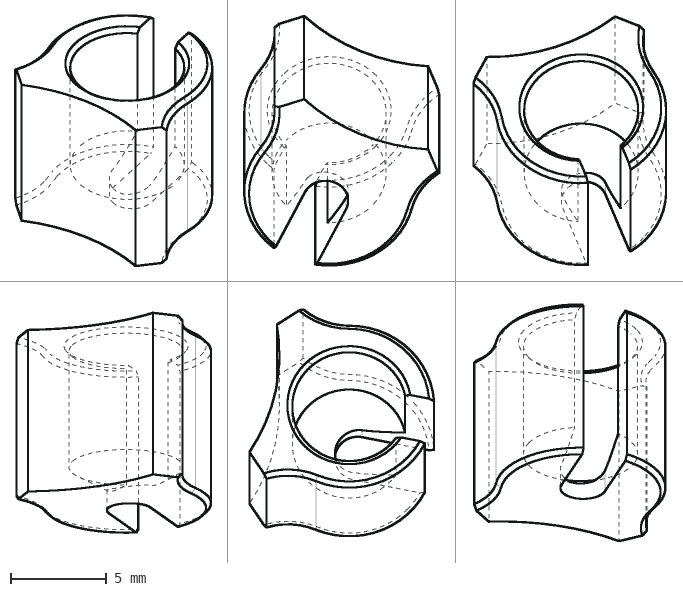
import cadquery as cq
import math

height = 8.89
outer_radius = 4.45
edge_chamfer = 0.26

foot_tip_x = 4.75
foot_base_x = 3.57
foot_base_y = -4.6
base_arch_rise = 0.665
side_radius = 3.705
side_center_y = -1.63

bore_radius = 2.98
bore_depth = 6.65
floor_cone_angle = 118.0

slot_width = 2.375
slot_center_y = 0.45

center_distance = outer_radius + side_radius
side_center_x = math.sqrt(center_distance**2 - side_center_y**2)
tangent_x = side_center_x * outer_radius / center_distance
tangent_y = side_center_y * outer_radius / center_distance
foot_tip_y = side_center_y - math.sqrt(side_radius**2 - (side_center_x - foot_tip_x) ** 2)


def make_body():
    """Extrude the footed outline and chamfer its round and concave rims."""
    side_middle = (side_center_x - side_radius, side_center_y)
    outline = (
        cq.Workplane("XY")
        .moveTo(-foot_base_x, foot_base_y)
        .threePointArc((0, foot_base_y + base_arch_rise), (foot_base_x, foot_base_y))
        .lineTo(foot_tip_x, foot_tip_y)
        .threePointArc(side_middle, (tangent_x, tangent_y))
        .threePointArc((0, outer_radius), (-tangent_x, tangent_y))
        .threePointArc((-side_middle[0], side_middle[1]), (-foot_tip_x, foot_tip_y))
        .close()
    )
    body = outline.extrude(height)
    above_feet = cq.selectors.BoxSelector(
        (-2 * foot_tip_x, foot_tip_y, -height),
        (2 * foot_tip_x, 2 * outer_radius, 2 * height),
    )
    rims = body.faces("|Z").edges(above_feet)
    return rims.chamfer(edge_chamfer)


def make_bore():
    """Revolve the bore with its chamfered mouth and conical floor."""
    cone_depth = bore_radius / math.tan(math.radians(floor_cone_angle / 2))
    floor_z = height - bore_depth
    return (
        cq.Workplane("XZ")
        .moveTo(0, height)
        .lineTo(bore_radius + edge_chamfer, height)
        .lineTo(bore_radius, height - edge_chamfer)
        .lineTo(bore_radius, floor_z)
        .lineTo(0, floor_z - cone_depth)
        .close()
        .revolve(360, (0, 0), (0, 1))
    )


def make_slot():
    """Round-ended slot running the full height."""
    slot_length = 2 * outer_radius
    rounded_end = cq.Workplane("XY").center(0, slot_center_y).circle(slot_width / 2).extrude(height)
    channel = (
        cq.Workplane("XY")
        .center(0, slot_center_y + slot_length / 2)
        .rect(slot_width, slot_length)
        .extrude(height)
    )
    return channel.union(rounded_end)


result = make_body().cut(make_bore()).cut(make_slot())